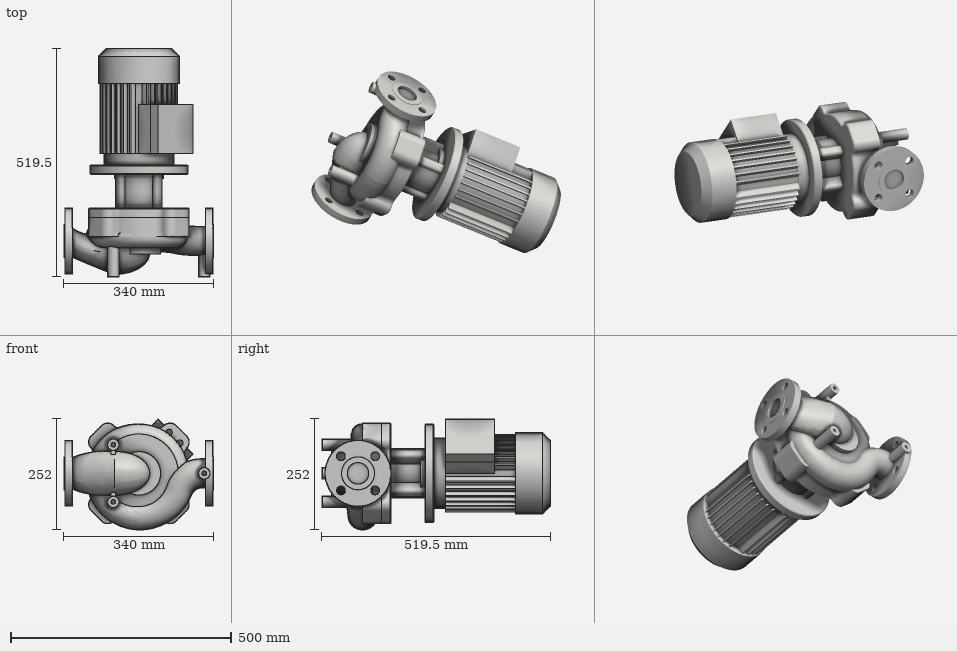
import cadquery as cq
import math


boss_end_y = -81.5
hub_front_y = -29.5
disc_front_y = -16.0
volute_front_y = -14.5
lug_front_y = 10.5
cover_front_y = 53.5
cover_back_y = 75.5
collar_front_y = 142.0
flange_front_y = 152.0
flange_back_y = 172.5
stator_front_y = 198.5
box_back_y = 311.0
cap_front_y = 358.5
cap_back_y = boss_end_y + 519.5

casing_radius = 112.0
casing_edge_fillet = 23.5
lug_reach = 136.5
lug_width = 73.0
lug_corner_radius = 19.0
lug_root_radius = 14.5
disc_radius = 89.5
hub_radius = 49.5
cover_chamfer = 2.5
lug_hole_radius = 7.5
lug_hole_spacing = 34.5
lug_hole_distance = 114.5
lug_hole_depth = 10.5
lug_hole_angle = 45
scroll_start_radius = 22.5
scroll_start_centre = casing_radius - scroll_start_radius
scroll_end_radius = 33.5
scroll_end_centre = 95.5
scroll_end_y = 10.5
outlet_bend_end_x = 143.0

face_x = 170.0
raised_face_height = 1.5
raised_face_radius = 37.5
pipe_flange_radius = 75.0
pipe_flange_thickness = 17.0
bore_radius = 24.5
bore_depth = 8.5
bolt_circle_radius = 55.0
bolt_hole_radius = 10.0
pipe_flange_back_x = face_x - raised_face_height - pipe_flange_thickness

elbow_centre_x = -55.0
elbow_centre_y = -26.0
elbow_length = 80.0
elbow_radius = 50.5
suction_sections = [
    (-pipe_flange_back_x, -3.5, 33.5, 36.0),
    (-109.0, -20.5, 35.0, 48.0),
    (elbow_centre_x, elbow_centre_y, elbow_radius, elbow_radius),
]

boss_radius = 13.0
boss_hole_radius = 5.0
boss_hole_depth = 20.0
suction_boss_x = -58.0
suction_boss_z = 65.0
outlet_boss_x = 148.5
rib_width = 10.5
rib_front_y = -60.0
rib_inner_z = 43.0

lantern_radius = 56.5
lantern_core_radius = 42.5
lantern_rib_width = 22.5
lantern_rib_reach = 68.0
lantern_rib_rounding = 8.0
collar_radius = 55.5
collar_width = 63.0

flange_radius = 111.5
flange_chamfer = 2.0
neck_radius = 80.0
core_radius = 78.5
fin_tip_radius = 90.0
fin_pitch = 16.0
fin_thickness = 3.0
fins_each_side = 3
cap_radius = 92.5
cap_chamfer = 18.5
box_angle = 45
box_width = 112.0
box_seam_distance = 93.0
box_outer_distance = 118.0

diagonals = [45, 135, 225, 315]


def front_plane(y):
    """Sketch plane facing -Y, with local x along X and local y along Z."""
    return cq.Workplane("XZ", origin=(0, y, 0))


def disc(radius, y_start, y_end, x=0, z=0):
    """Cylinder along Y."""
    return front_plane(y_start).center(x, z).circle(radius).extrude(y_start - y_end)


def turned(body, angle):
    """Body turned about the shaft, anticlockwise as seen from the pump end."""
    return body.rotate((0, 0, 0), (0, 1, 0), -angle)


def block(x_start, x_end, width, y_start, y_end):
    """Box from x_start to x_end, centred on Z = 0."""
    sketch = front_plane(y_start).center((x_start + x_end) / 2, 0)
    return sketch.rect(x_end - x_start, width).extrude(y_start - y_end)


def lugged_plate(y_start, y_end):
    """Round plate with four rounded lugs on its diagonals."""
    plate = disc(casing_radius, y_start, y_end)
    lug = block(0, lug_reach, lug_width, y_start, y_end)
    lug = lug.edges("|Y and >X").fillet(lug_corner_radius)
    for angle in diagonals:
        plate = plate.union(turned(lug, angle))
    root_x = math.sqrt(casing_radius**2 - (lug_width / 2) ** 2)
    middle_y = (y_start + y_end) / 2
    for angle in diagonals:
        for side in (-1, 1):
            turn = math.radians(angle) + side * math.atan2(lug_width / 2, root_x)
            root = (casing_radius * math.cos(turn), middle_y, casing_radius * math.sin(turn))
            plate = plate.edges(cq.selectors.NearestToPointSelector(root)).fillet(lug_root_radius)
    return plate


def casing():
    """Flat-fronted pump casing with a rounded front edge, lugs and a raised hub."""
    drum = disc(casing_radius, volute_front_y, cover_front_y)
    drum = drum.faces("<Y").edges().fillet(casing_edge_fillet)
    body = lugged_plate(lug_front_y, cover_front_y).union(drum)
    body = body.union(disc(disc_radius, disc_front_y, lug_front_y))
    return body.union(disc(hub_radius, hub_front_y, lug_front_y))


def scroll():
    """Round channel that grows along the left half of the casing, from its top to its bottom."""
    left_x = -(scroll_start_centre + scroll_end_centre) / 2
    middle_z = (scroll_start_centre - scroll_end_centre) / 2
    path = cq.Edge.makeThreePointArc(
        cq.Vector(0, lug_front_y, scroll_start_centre),
        cq.Vector(left_x, lug_front_y, middle_z),
        cq.Vector(0, lug_front_y, -scroll_end_centre),
    )
    start = cq.Workplane("YZ", origin=(0, lug_front_y, scroll_start_centre))
    channel = start.circle(scroll_start_radius)
    channel = channel.workplane(origin=(0, scroll_end_y, -scroll_end_centre)).circle(scroll_end_radius)
    return channel.sweep(cq.Workplane(path), multisection=True)


def outlet_pipe():
    """Pipe that leaves the scroll at its bottom and bends in an S to the outlet flange."""
    drop = math.hypot(scroll_end_y, scroll_end_centre)
    tilted = cq.Plane(
        origin=(0, 0, 0),
        xDir=(1, 0, 0),
        normal=(0, -scroll_end_centre / drop, -scroll_end_y / drop),
    )
    sweep = 2 * math.atan(drop / outlet_bend_end_x)
    bend_radius = drop * math.cos(sweep) / (1 - math.cos(sweep))

    def scroll_point(angle):
        return (drop * math.sin(angle), -drop * math.cos(angle))

    def bend_point(angle):
        return (outlet_bend_end_x - bend_radius * math.sin(angle), bend_radius * (math.cos(angle) - 1))

    path = cq.Workplane(tilted).moveTo(*scroll_point(0))
    path = path.threePointArc(scroll_point(sweep / 2), scroll_point(sweep))
    path = path.threePointArc(bend_point(sweep / 2), bend_point(0)).lineTo(pipe_flange_back_x, 0)
    start = cq.Workplane("YZ", origin=(0, scroll_end_y, -scroll_end_centre))
    return start.circle(scroll_end_radius).sweep(path)


def suction_pipe():
    """Pipe that widens from the suction flange into a rounded elbow."""
    first_x = suction_sections[0][0]
    pipe = cq.Workplane("YZ", origin=(first_x, 0, 0))
    previous_x = first_x
    for x, centre_y, half_height, half_width in suction_sections:
        pipe = pipe.workplane(offset=x - previous_x, origin=(previous_x, 0, 0))
        pipe = pipe.center(centre_y, 0).ellipse(half_height, half_width)
        previous_x = x
    pipe = pipe.loft()
    quarter_oval = cq.Workplane("XY", origin=(elbow_centre_x, elbow_centre_y, 0))
    quarter_oval = quarter_oval.ellipseArc(elbow_length, elbow_radius, 0, 90, startAtCurrent=False)
    quarter_oval = quarter_oval.lineTo(0, 0).close()
    return pipe.union(quarter_oval.revolve(360, (0, 0, 0), (1, 0, 0)))


def pipe_flange():
    """Blank disc of a pipe flange on the -X side, with its raised face."""
    back = cq.Workplane("YZ", origin=(-pipe_flange_back_x, 0, 0))
    flange = back.circle(pipe_flange_radius).extrude(-pipe_flange_thickness)
    return flange.union(back.circle(raised_face_radius).extrude(pipe_flange_back_x - face_x))


def flange_holes():
    """Blind bore and four bolt holes of the flange on the -X side."""
    face = cq.Workplane("YZ", origin=(-face_x, 0, 0))
    bore = face.circle(bore_radius).extrude(bore_depth)
    bolts = face.polarArray(bolt_circle_radius, diagonals[0], 360, len(diagonals)).circle(bolt_hole_radius)
    return bore.union(bolts.extrude(face_x - pipe_flange_back_x))


def pump_housing():
    """Casing, pipes, flanges and bosses in one casting."""
    body = casing().union(scroll()).union(outlet_pipe()).union(suction_pipe())

    boss_places = [
        (suction_boss_x, suction_boss_z),
        (suction_boss_x, -suction_boss_z),
        (outlet_boss_x, 0),
    ]
    for x, z in boss_places:
        body = body.union(disc(boss_radius, boss_end_y, 0, x, z))

    rib_height = suction_boss_z - rib_inner_z
    for side in (-1, 1):
        rib = front_plane(rib_front_y).center(suction_boss_x, side * (rib_inner_z + rib_height / 2))
        body = body.union(rib.rect(rib_width, rib_height).extrude(rib_front_y))

    for turn in (0, 180):
        body = body.union(pipe_flange().rotate((0, 0, 0), (0, 0, 1), turn))
    for turn in (0, 180):
        body = body.cut(flange_holes().rotate((0, 0, 0), (0, 0, 1), turn))

    for x, z in boss_places:
        body = body.cut(disc(boss_hole_radius, boss_end_y, boss_end_y + boss_hole_depth, x, z))

    for side in (-1, 1):
        hole = disc(
            lug_hole_radius,
            lug_front_y,
            lug_front_y + lug_hole_depth,
            lug_hole_distance,
            side * lug_hole_spacing / 2,
        )
        body = body.cut(turned(hole, lug_hole_angle))
    return body


def lantern():
    """Casing cover with the ribbed tube, open at both sides, that carries the motor."""
    cover = lugged_plate(cover_front_y, cover_back_y).faces(">Y").edges().chamfer(cover_chamfer)
    tube = disc(lantern_radius, cover_back_y, flange_front_y)
    window = front_plane(cover_back_y).polyline(
        [(0, 0), (lantern_radius, lantern_radius), (lantern_radius, -lantern_radius)]
    )
    window = window.close().extrude(cover_back_y - flange_front_y)
    for angle in (0, 180):
        tube = tube.cut(turned(window, angle))
    tube = tube.union(disc(lantern_core_radius, cover_back_y, flange_front_y))
    rib = block(0, lantern_rib_reach, lantern_rib_width, cover_back_y, flange_front_y)
    rib = rib.edges("|Y and >X").fillet(lantern_rib_rounding)
    for angle in diagonals:
        tube = tube.union(turned(rib, angle))
    collar = disc(collar_radius, collar_front_y, flange_front_y)
    collar = collar.intersect(
        block(-collar_radius, collar_radius, collar_width, collar_front_y, flange_front_y)
    )
    return cover.union(tube).union(collar)


def motor_flange():
    """Mounting flange with the round neck behind it."""
    flange = disc(flange_radius, flange_front_y, flange_back_y)
    flange = flange.edges("%CIRCLE").chamfer(flange_chamfer)
    return flange.union(disc(neck_radius, flange_back_y, stator_front_y))


def stator():
    """Motor core with fins that stand parallel in each quarter."""
    body = disc(core_radius, stator_front_y, cap_front_y)
    for angle in diagonals:
        for index in range(-fins_each_side, fins_each_side + 1):
            fin = block(0, fin_tip_radius, fin_thickness, stator_front_y, cap_front_y)
            fin = fin.translate((0, 0, index * fin_pitch))
            body = body.union(turned(fin, angle))
    return body.intersect(disc(fin_tip_radius, stator_front_y, cap_front_y))


def fan_cap():
    """Fan cover with its bevelled rear edge."""
    return disc(cap_radius, cap_front_y, cap_back_y).faces(">Y").edges().chamfer(cap_chamfer)


def terminal_box():
    """Box on the upper right diagonal, fitted to the round motor core."""
    box = block(0, box_seam_distance, box_width, stator_front_y, box_back_y)
    return turned(box, box_angle).cut(disc(core_radius, stator_front_y, box_back_y))


def terminal_lid():
    """Flat lid on the outer face of the terminal box."""
    lid = block(box_seam_distance, box_outer_distance, box_width, stator_front_y, box_back_y)
    return turned(lid, box_angle)


box_body = terminal_box()

result = cq.Compound.makeCompound(
    [
        pump_housing().val(),
        lantern().val(),
        motor_flange().val(),
        stator().cut(box_body).val(),
        fan_cap().val(),
        box_body.val(),
        terminal_lid().val(),
    ]
)